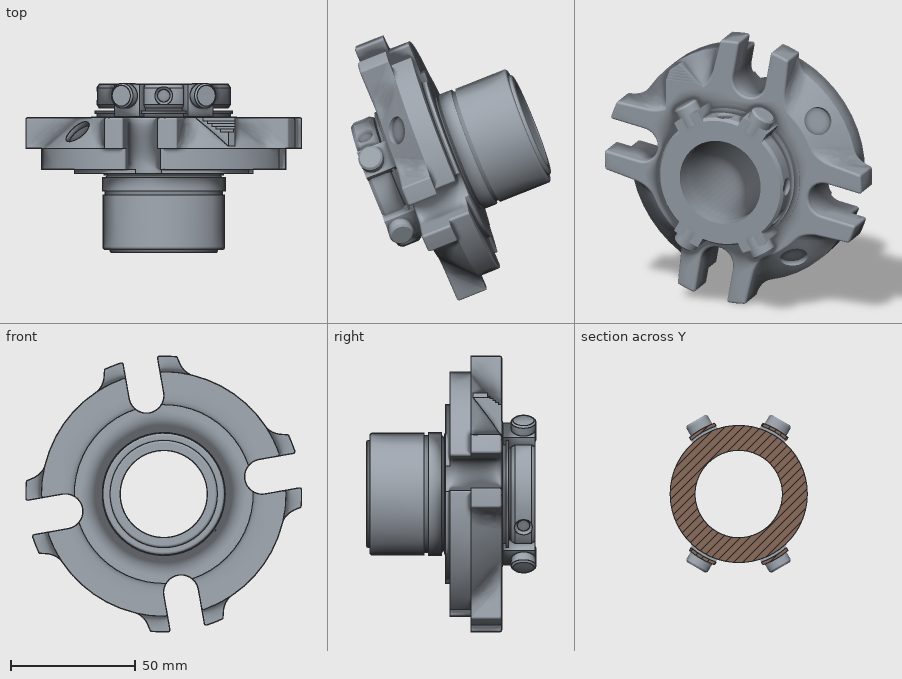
import cadquery as cq
import math

selection_tolerance = 0.1


bore_d = 35.0
nose_d = 43.2
nose_fillet = 1.0
sleeve_d = 49.0
sleeve_fillet = 1.0
groove_d = 47.2
shoulder_d = 49.5
neck_top_d = 45.0
neck_d = 37.0
sleeve_y = 1.3
groove_y = 23.2
shoulder_y = 24.9
neck_y = 30.2
neck_top_y = 31.3

lip_d = 48.2
face_d = 72.0
body_d = 98.4
lug_circle_d = 111.1
back_disc_d = 58.4
seat_d = 53.9
snap_ring_d = 55.4
face_y = 31.9
body_y = 33.5
lug_y = 42.0
lug_back_y = 54.4
seat_y = 54.7
snap_ring_y = 56.1
snap_ring_end_y = 57.1
back_edge_fillet = 1.0
lug_tip_fillet = 0.9
slot_corner_fillet = 0.9

slot_width = 14.0
slot_bottom_r = 33.2
first_slot_angle = 10
slot_angles = [first_slot_angle + 90 * i for i in range(4)]

recess_apex_r = 24.7
recess_half_angle = 49
recess_fillet = 6.2
recess_angles = [angle + 45 for angle in slot_angles]

port_d = 11.3
port_depth = 2.3
port_y = 48.8
port_angles = recess_angles[1:3]

tooth_outer_r = 48.3
tooth_tip_x = 26.0
tooth_right_x = 28.8
tooth_face_angle = 24.7
tooth_face_length = 17.2
tooth_foot_z = 22.2
tooth_step_count = 5
tooth_step_x = 22.9
tooth_step_y = 48.7
tooth_step_width = 1.8
tooth_step_pitch = 1.1

collar_d = 53.9
collar_y = 58.2
collar_end_y = 67.9
collar_chamfer_length = 1.5
collar_chamfer_depth = 1.0

clip_r = 30.2
clip_inner_r = 25.4
clip_width = 11.8
clip_y = 54.9
clip_groove_r = 28.8
head_d = 10
head_r = 34.2
head_chamfer = 0.8
head_y = 63.2
clip_angles = [60, 120, 240, 300]

set_hole_d = 5.0
set_sink_d = 7.4
set_hole_depth = 1.5
set_hole_angles = [90, 180, 210, 330]


def ring(outer_d, y_start, y_end, inner_d=bore_d):
    """Ring about the Y axis."""
    plane = cq.Workplane("XZ", origin=(0, y_start, 0))
    return plane.circle(outer_d / 2).circle(inner_d / 2).extrude(y_start - y_end)


def turned(tool, angle):
    """Turn a tool built along +X to an angle measured from +X toward +Z."""
    return tool.rotate((0, 0, 0), (0, 1, 0), -angle)


def sleeve():
    nose_r = nose_d / 2
    sleeve_r = sleeve_d / 2
    fillet_bulge = 1 - math.sqrt(0.5)
    nose_bulge = nose_fillet * fillet_bulge
    sleeve_bulge = sleeve_fillet * fillet_bulge
    profile = (
        cq.Workplane("XY")
        .moveTo(bore_d / 2, 0)
        .lineTo(nose_r - nose_fillet, 0)
        .threePointArc((nose_r - nose_bulge, nose_bulge), (nose_r, nose_fillet))
        .lineTo(nose_r, sleeve_y)
        .lineTo(sleeve_r - sleeve_fillet, sleeve_y)
        .threePointArc(
            (sleeve_r - sleeve_bulge, sleeve_y + sleeve_bulge),
            (sleeve_r, sleeve_y + sleeve_fillet),
        )
        .lineTo(sleeve_r, groove_y)
        .lineTo(groove_d / 2, groove_y)
        .lineTo(groove_d / 2, shoulder_y)
        .lineTo(shoulder_d / 2, shoulder_y)
        .lineTo(shoulder_d / 2, neck_y)
        .lineTo(groove_d / 2, neck_y)
        .lineTo(neck_top_d / 2, neck_top_y)
        .lineTo(neck_top_d / 2, seat_y)
        .lineTo(neck_d / 2, seat_y)
        .lineTo(neck_d / 2, collar_end_y)
        .lineTo(bore_d / 2, collar_end_y)
        .close()
    )
    return profile.revolve(360, (0, 0, 0), (0, 1, 0))


def slot_tool(y_start, y_end):
    """U-shaped bolt slot along +X, open at the rim."""
    centre_r = slot_bottom_r + slot_width / 2
    plane = cq.Workplane("XZ", origin=(0, y_start, 0))
    round_end = plane.center(centre_r, 0).circle(slot_width / 2).extrude(y_start - y_end)
    channel = plane.center(centre_r + lug_circle_d / 2, 0).rect(lug_circle_d, slot_width)
    return round_end.union(channel.extrude(y_start - y_end))


def recess_tool():
    """Space between two lugs along +X: a wedge with a 45-degree conical floor and rounded corners."""
    margin = 3.3
    front_y = lug_y - margin
    back_y = lug_back_y + margin
    reach = lug_circle_d
    half_width = (reach - recess_apex_r) * math.tan(math.radians(recess_half_angle))
    wedge = (
        cq.Workplane("XZ", origin=(0, front_y, 0))
        .polyline([(recess_apex_r, 0), (reach, half_width), (reach, -half_width)])
        .close()
        .extrude(front_y - back_y)
    )
    front_r = body_d / 2 + margin
    back_r = body_d / 2 - (back_y - lug_y)
    cone = (
        cq.Workplane("XY")
        .polyline([(0, front_y), (front_r, front_y), (back_r, back_y), (0, back_y)])
        .close()
        .revolve(360, (0, 0, 0), (0, 1, 0))
    )
    wedge = wedge.cut(cone)
    corner = cq.selectors.BoxSelector(
        (0, front_y + selection_tolerance, -reach),
        (front_r, back_y - selection_tolerance, reach),
    )
    wedge = wedge.edges(corner).fillet(recess_fillet)
    return wedge.intersect(ring(3 * lug_circle_d, lug_y, back_y))


def port_tool():
    floor_r = body_d / 2 - (port_y - lug_y)
    plane = cq.Plane(origin=(floor_r, port_y, 0), xDir=(0, 0, 1), normal=(1, 1, 0))
    drill = cq.Workplane(plane).workplane(offset=-port_depth)
    return drill.circle(port_d / 2).extrude(2 * port_d)


def tooth():
    """Tooth along Y with a slanting left face and a rounded tip, stepped down toward the back."""
    tip_z = math.sqrt(tooth_outer_r**2 - tooth_tip_x**2)
    right_z = math.sqrt(tooth_outer_r**2 - tooth_right_x**2)
    middle_x = (tooth_tip_x + tooth_right_x) / 2
    middle_z = math.sqrt(tooth_outer_r**2 - middle_x**2)
    slope = math.radians(tooth_face_angle)
    foot_x = tooth_tip_x - tooth_face_length * math.cos(slope)
    foot_z = tip_z - tooth_face_length * math.sin(slope)
    outline = (
        cq.Workplane("XZ", origin=(0, lug_y, 0))
        .moveTo(foot_x, foot_z)
        .lineTo(tooth_tip_x, tip_z)
        .threePointArc((middle_x, middle_z), (tooth_right_x, right_z))
        .lineTo(tooth_right_x, tooth_foot_z)
        .lineTo(foot_x, tooth_foot_z)
        .close()
    )
    body = outline.extrude(lug_y - lug_back_y)
    for i in range(tooth_step_count):
        step_x = tooth_step_x - i * tooth_step_width
        step_y = tooth_step_y + i * tooth_step_pitch
        step_z = tip_z - (tooth_tip_x - step_x) * math.tan(slope)
        cutter = cq.Workplane("XY").box(
            tooth_outer_r, lug_back_y - step_y, tooth_outer_r, centered=False
        )
        body = body.cut(cutter.translate((foot_x, step_y, step_z)))
    return body


def round_rim_corners(plate, rim_r, fillet):
    """Round the edges along Y that lie on the rim."""
    corners = [
        edge
        for edge in plate.edges("|Y").vals()
        if abs(math.hypot(edge.Center().x, edge.Center().z) - rim_r) < selection_tolerance
    ]
    return plate.newObject(corners).fillet(fillet)


def lug_plate():
    plate = ring(lug_circle_d, lug_y, lug_back_y)
    for angle in slot_angles:
        plate = plate.cut(turned(slot_tool(lug_y, lug_back_y), angle))
    recess = recess_tool()
    for angle in recess_angles:
        plate = plate.cut(turned(recess, angle))
    plate = round_rim_corners(plate, lug_circle_d / 2, lug_tip_fillet)
    outline = plate.faces(">Y").wires().vals()[0].Edges()
    return plate.newObject(outline).fillet(back_edge_fillet).union(tooth())


def gland():
    face = ring(face_d, face_y, body_y)
    body = ring(body_d, body_y, lug_y)
    for angle in slot_angles:
        face = face.cut(turned(slot_tool(face_y, body_y), angle))
        body = body.cut(turned(slot_tool(body_y, lug_y), angle))
    front = face.union(round_rim_corners(body, body_d / 2, slot_corner_fillet))
    plate = front.union(lug_plate())
    for angle in port_angles:
        plate = plate.cut(turned(port_tool(), angle))
    plate = plate.union(ring(lip_d, neck_top_y, face_y))
    plate = plate.union(ring(back_disc_d, lug_back_y, seat_y))
    plate = plate.union(ring(seat_d, seat_y, snap_ring_y))
    return plate.union(ring(snap_ring_d, snap_ring_y, snap_ring_end_y))


def set_hole_tool():
    return (
        cq.Workplane("YZ", origin=(collar_d / 2, head_y, 0))
        .circle(set_sink_d / 2)
        .workplane(offset=-set_hole_depth)
        .circle(set_hole_d / 2)
        .loft()
    )


def clip():
    """Clip bar and screw head, along +X."""
    bar = ring(2 * clip_r, clip_y, collar_end_y, 2 * clip_inner_r)
    bar = bar.cut(ring(2 * clip_groove_r, snap_ring_y, snap_ring_end_y))
    bar = bar.intersect(cq.Workplane("YZ").rect(3 * collar_end_y, clip_width).extrude(clip_r))
    head = (
        cq.Workplane("YZ", origin=(clip_inner_r, head_y, 0))
        .circle(head_d / 2)
        .extrude(head_r - clip_inner_r)
        .faces(">X")
        .chamfer(head_chamfer)
    )
    return bar, head


def collar():
    rim_r = collar_d / 2
    start_edge_y = collar_y + collar_chamfer_length
    end_edge_y = collar_end_y - collar_chamfer_length
    profile = [
        (bore_d / 2, collar_y),
        (rim_r - collar_chamfer_depth, collar_y),
        (rim_r, start_edge_y),
        (rim_r, end_edge_y),
        (rim_r - collar_chamfer_depth, collar_end_y),
        (bore_d / 2, collar_end_y),
    ]
    body = cq.Workplane("XY").polyline(profile).close().revolve(360, (0, 0, 0), (0, 1, 0))
    for angle in set_hole_angles:
        body = body.cut(turned(set_hole_tool(), angle))
    for angle in clip_angles:
        bar, head = clip()
        body = body.union(turned(bar, angle)).union(turned(head, angle))
    return body


result = sleeve().union(gland()).union(collar())